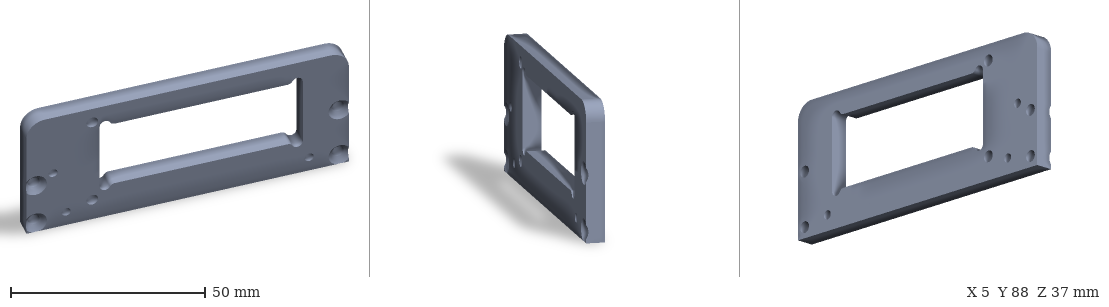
import cadquery as cq
import math

thickness = 5.0
length = 88.0
height = 37.0
corner_radius = 5.0

window_left = 31.4
window_right = -24.0
window_bottom = 10.4
window_top = 30.4
lobe_radius = 1.5
lobe_offset = 0.1
blend_radius = 1.5

screw_diameter = 3.2
countersink_diameter = 6.2
countersink_angle = 90.0
pin_diameter = 2.5
screw_y = length / 2 - 2.5
screw_low_z = 3.0
corner_screws = [
    (screw_y, screw_low_z),
    (screw_y, 18.0),
    (-screw_y, screw_low_z),
    (-screw_y, 15.5),
]
window_screws = [(-26.05, 6.5), (-26.05, 32.5)]
pin_y = 33.2
pin_low_z = 4.4
pins = [(pin_y, pin_low_z), (-pin_y, pin_low_z), (-36.8, 18.4)]


def make_plate():
    plate = cq.Workplane("YZ").rect(length, height).extrude(thickness)
    plate = plate.translate((0, 0, height / 2))
    return plate.edges("|X and >Z").fillet(corner_radius)


def make_window():
    """Prism of the window, with each lobe tangent to its short side and its blend."""
    center_y = (window_left + window_right) / 2
    center_z = (window_bottom + window_top) / 2
    half_width = (window_left - window_right) / 2
    half_height = (window_top - window_bottom) / 2

    lobe_y = half_width - lobe_radius
    lobe_z = half_height + lobe_offset
    rise = blend_radius - lobe_offset
    run = math.sqrt((lobe_radius + blend_radius) ** 2 - rise**2)
    angle = math.atan2(rise, -run)
    blend_y = lobe_y - run
    blend_z = half_height + blend_radius

    def on_lobe(direction):
        return (
            lobe_y + lobe_radius * math.cos(direction),
            lobe_z + lobe_radius * math.sin(direction),
        )

    def on_blend(direction):
        return (
            blend_y + blend_radius * math.cos(direction),
            blend_z + blend_radius * math.sin(direction),
        )

    corner = [
        on_lobe(0),
        on_lobe(angle / 2),
        on_lobe(angle),
        on_blend((angle - 3 * math.pi / 2) / 2),
        (blend_y, half_height),
    ]

    outline = None
    for side_y, side_z in [(1, 1), (-1, 1), (-1, -1), (1, -1)]:
        ordered = corner if side_y == side_z else corner[::-1]
        start, mid_a, joint, mid_b, end = [
            (center_y + side_y * y, center_z + side_z * z) for y, z in ordered
        ]
        if outline is None:
            outline = cq.Workplane("YZ").moveTo(*start)
        else:
            outline = outline.lineTo(*start)
        outline = outline.threePointArc(mid_a, joint).threePointArc(mid_b, end)
    return outline.close().extrude(thickness)


def make_holes(centers, diameter):
    return cq.Workplane("YZ").pushPoints(centers).circle(diameter / 2).extrude(thickness)


def make_countersinks(centers):
    """Full cones opening on the +X face."""
    radius = countersink_diameter / 2
    depth = radius / math.tan(math.radians(countersink_angle / 2))
    cones = cq.Workplane("YZ")
    for y, z in centers:
        base = cq.Vector(thickness, y, z)
        cones = cones.add(cq.Solid.makeCone(radius, 0, depth, base, cq.Vector(-1, 0, 0)))
    return cones.combine()


result = make_plate().cut(make_window())
result = result.cut(make_holes(corner_screws + window_screws, screw_diameter))
result = result.cut(make_holes(pins, pin_diameter))
result = result.cut(make_countersinks(corner_screws))